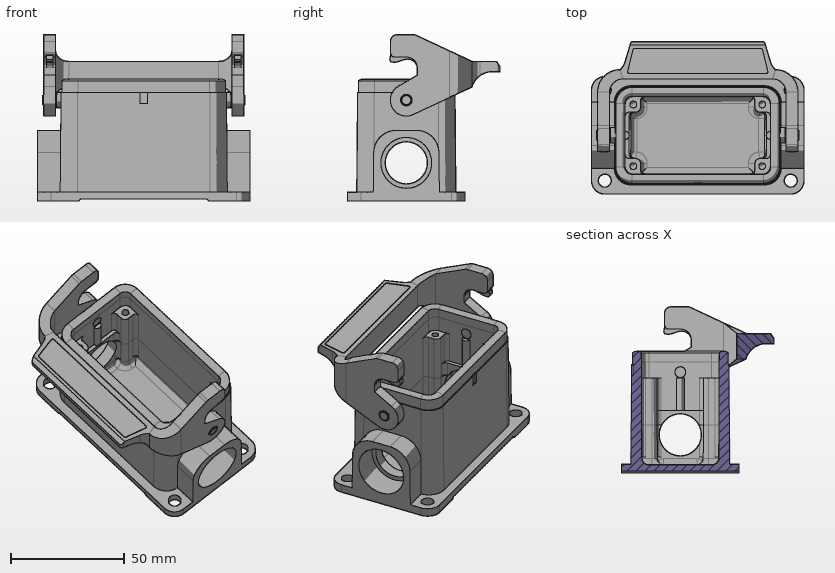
import cadquery as cq
import math


FLANGE_LENGTH = 94.0
FLANGE_WIDTH = 52.1
FLANGE_HEIGHT = 3.95
FLANGE_CORNER_RADIUS = 6.0
FLANGE_HOLE_DIAMETER = 5.6
FLANGE_HOLE_X = 41.1
FLANGE_HOLE_Y = 20.0
FOOT_RECESS_DEPTH = 0.9
FOOT_RECESS_HALF_LENGTH = 28.8

BODY_LENGTH = 73.9
BODY_WIDTH = 43.9
BODY_CORNER_RADIUS = 7.6
BODY_DRAFT = 0.5
RIM_BASE_Z = 47.9
RIM_LENGTH = 72.4
RIM_WIDTH = 42.4
RIM_CORNER_RADIUS = 7.2
RIM_EDGE_Z = 53.2
RIM_CROWN = 0.75
LIP_WIDTH = 3.95
NOTCH_WIDTH = 3.1
NOTCH_HEIGHT = 4.9
NOTCH_DEPTH = 0.6

FLOOR_Z = 3.8
FLOOR_FILLET = 2.8
FOOT_TOP_Z = FLOOR_Z + FLOOR_FILLET + 0.5
LOWER_DRAFT = 0.5
LOWER_TOP_Z = 21.3
LEDGE_Z = 27.7
LEDGE_X = 30.4
BASE_HALF_X = 29.7
POST_TOP_Z = 42.0
FLARE_BASE_Z = 49.1
FLARE = 0.2
CAVITY_HALF_X = RIM_LENGTH / 2 - LIP_WIDTH - FLARE
CAVITY_HALF_Y = RIM_WIDTH / 2 - LIP_WIDTH - FLARE
CAVITY_CORNER_RADIUS = RIM_CORNER_RADIUS - LIP_WIDTH
POST_INNER_X = 25.3
POST_INNER_Y = 10.2
POST_CORNER_RADIUS = 2.3
POST_ROOT_FILLET = 1.8
POST_HOLE_DIAMETER = 3.0
POST_HOLE_X = 28.5
POST_HOLE_Y = 13.6
POST_HOLE_DEPTH = 9.4
DRILL_HALF_ANGLE = 59.0
WALL_RIB_RADIUS = 1.8

ENTRY_HALF_WIDTH = 14.3
ENTRY_BASE_HALF_WIDTH = 14.7
ENTRY_TOP_Z = 31.3
ENTRY_CORNER_RADIUS = 10.0
ENTRY_AXIS_Z = 16.9
ENTRY_BORE_DIAMETER = 22.5
ENTRY_BORE_DEPTH = 12.2
ENTRY_HOLE_DIAMETER = 18.5

HINGE_Z = 44.65
HINGE_SHOULDER_DIAMETER = 7.0
HINGE_SHOULDER_END_X = 38.5
HINGE_PIN_DIAMETER = 4.8
HINGE_PIN_TIP_DIAMETER = 4.0
HINGE_PIN_END_X = 44.65
HINGE_HOLE_DIAMETER = 5.1
PIN_SEAT_DEPTH = 0.1

ARM_INNER_X = 38.9
ARM_THICKNESS = 5.4
ARM_OUTER_X = ARM_INNER_X + ARM_THICKNESS
ARM_TOP_Z = 73.6
ARM_SLOPE = 25.0
ARM_END_RADIUS = 7.05
ARM_FRONT_Y = -ARM_END_RADIUS
ARM_TOP_BACK_Y = 3.8
NOSE_RADIUS = 3.0
HOOK_CEILING_Z = 63.6
HOOK_BACK_Y = 4.8
HOOK_RADIUS = 4.6
HOOK_LIP_RADIUS = 2.0
HOOK_BOTTOM_Z = 55.7
HOOK_SLOPE = 31.4
CAM_WIDTH = 2.8

BEND_INNER_RADIUS = 5.8
BEND_OUTER_RADIUS = 10.0
BEND_INNER_X = ARM_INNER_X - BEND_INNER_RADIUS
BEND_OUTER_X = ARM_OUTER_X - BEND_OUTER_RADIUS
BEND_Y = 19.1
BAR_INNER_Y = BEND_Y + BEND_INNER_RADIUS
BAR_OUTER_Y = BEND_Y + BEND_OUTER_RADIUS
HANDLE_TIP_Y = 41.5
HANDLE_UNDERSIDE_Z = 57.15
HANDLE_CHAMFER_Y = 1.6
HANDLE_CHAMFER_Z = 2.4
HANDLE_NECK_X = 32.15
HANDLE_NECK_Y = 32.5
HANDLE_NECK_MIDDLE = (33.1, 30.5)
HANDLE_TIP_X = 29.5
HANDLE_CORNER_RADIUS = 1.4
PANEL_NEAR_Y = 27.4
PANEL_FAR_Y = 38.35
PANEL_NEAR_X = 31.2
PANEL_FAR_X = 28.5
PANEL_CORNER_RADIUS = 0.75
PANEL_DEPTH = 0.3


def tan_degrees(angle):
    return math.tan(math.radians(angle))


def level(z):
    """Horizontal workplane at height z."""
    return cq.Workplane("XY", origin=(0, 0, z))


def facing_x(x, z=0.0):
    """Workplane at x whose local axes are Y and Z and whose normal is +X."""
    return cq.Workplane("YZ", origin=(x, 0, z))


def with_mirror(solid):
    """The solid together with its mirror image across X = 0."""
    return solid.union(solid.mirror("YZ"))


def rounded_block(length, width, radius, bottom_z, top_z, draft=0.0):
    outline = cq.Sketch().rect(length, width).vertices().fillet(radius)
    return level(bottom_z).placeSketch(outline).extrude(top_z - bottom_z, taper=draft)



def make_flange():
    flange = rounded_block(FLANGE_LENGTH, FLANGE_WIDTH, FLANGE_CORNER_RADIUS, 0, FLANGE_HEIGHT)
    top_half_length = FOOT_RECESS_HALF_LENGTH - FOOT_RECESS_DEPTH
    recess = (
        cq.Workplane("XZ")
        .polyline([
            (-FOOT_RECESS_HALF_LENGTH, 0),
            (-top_half_length, FOOT_RECESS_DEPTH),
            (top_half_length, FOOT_RECESS_DEPTH),
            (FOOT_RECESS_HALF_LENGTH, 0),
        ])
        .close()
        .extrude(FLANGE_WIDTH / 2, both=True)
    )
    holes = (
        level(0)
        .rect(2 * FLANGE_HOLE_X, 2 * FLANGE_HOLE_Y, forConstruction=True)
        .vertices()
        .circle(FLANGE_HOLE_DIAMETER / 2)
        .extrude(FLANGE_HEIGHT)
    )
    return flange.cut(recess).cut(holes)


def make_rim():
    """Straight rim with a crowned lip; still solid inside."""
    rim = rounded_block(RIM_LENGTH, RIM_WIDTH, RIM_CORNER_RADIUS, RIM_BASE_Z, RIM_EDGE_Z)
    half_lip = LIP_WIDTH / 2
    path = (
        level(RIM_EDGE_Z)
        .rect(RIM_LENGTH - LIP_WIDTH, RIM_WIDTH - LIP_WIDTH)
        .extrude(RIM_CROWN)
        .edges("|Z")
        .fillet(RIM_CORNER_RADIUS - half_lip)
        .faces("<Z")
        .wires()
    )
    crown = (
        facing_x(0, RIM_EDGE_Z)
        .center(-(RIM_WIDTH / 2 - half_lip), 0)
        .moveTo(-half_lip, 0)
        .threePointArc((0, RIM_CROWN), (half_lip, 0))
        .close()
        .sweep(path)
    )
    return rim.union(crown)


def make_entry():
    """Cable entry block on the +X end, still without its bore."""
    outline = (
        cq.Sketch()
        .polygon([
            (-ENTRY_BASE_HALF_WIDTH, 0),
            (ENTRY_BASE_HALF_WIDTH, 0),
            (ENTRY_HALF_WIDTH, ENTRY_TOP_Z),
            (-ENTRY_HALF_WIDTH, ENTRY_TOP_Z),
            (-ENTRY_BASE_HALF_WIDTH, 0),
        ])
        .vertices(">Y")
        .fillet(ENTRY_CORNER_RADIUS)
    )
    return facing_x(BASE_HALF_X).placeSketch(outline).extrude(FLANGE_LENGTH / 2 - BASE_HALF_X)


def make_entry_bore():
    hole = facing_x(0, ENTRY_AXIS_Z).circle(ENTRY_HOLE_DIAMETER / 2).extrude(FLANGE_LENGTH / 2)
    bore = (
        facing_x(FLANGE_LENGTH / 2 - ENTRY_BORE_DEPTH, ENTRY_AXIS_Z)
        .circle(ENTRY_BORE_DIAMETER / 2)
        .extrude(ENTRY_BORE_DEPTH)
    )
    return hole.union(bore)


def cross_outline(half_x, rounded_roots=True):
    """Cavity outline between the four corner posts, reaching to half_x at the ends."""
    outline = (
        cq.Sketch()
        .rect(2 * half_x, 2 * POST_INNER_Y)
        .rect(2 * POST_INNER_X, 2 * CAVITY_HALF_Y)
        .clean()
        .vertices("not (<X or >X or <Y or >Y)")
        .fillet(POST_CORNER_RADIUS)
        .reset()
    )
    if rounded_roots:
        outline = outline.vertices("<X or >X or <Y or >Y").fillet(POST_ROOT_FILLET).reset()
    return outline


def make_cavity_base():
    """Drafted lower cavity with a filleted floor."""
    foot = (
        level(LOWER_TOP_Z)
        .placeSketch(cross_outline(BASE_HALF_X, rounded_roots=False))
        .extrude(FLOOR_Z - LOWER_TOP_Z, taper=LOWER_DRAFT)
        .faces("<Z")
        .edges()
        .fillet(FLOOR_FILLET)
        .intersect(level(0).rect(FLANGE_LENGTH, FLANGE_WIDTH).extrude(FOOT_TOP_Z))
    )
    shaft = (
        level(LOWER_TOP_Z)
        .placeSketch(cross_outline(BASE_HALF_X))
        .extrude(FOOT_TOP_Z - LOWER_TOP_Z, taper=LOWER_DRAFT)
    )
    return foot.union(shaft)


def make_cavity():
    """Cavity as a stack of layers: drafted base, ledge zone, post zone, open chamber, flared mouth."""
    ledge_zone = level(LOWER_TOP_Z).placeSketch(cross_outline(LEDGE_X)).extrude(LEDGE_Z - LOWER_TOP_Z)
    post_zone = level(LEDGE_Z).placeSketch(cross_outline(CAVITY_HALF_X)).extrude(POST_TOP_Z - LEDGE_Z)
    chamber = rounded_block(
        2 * CAVITY_HALF_X, 2 * CAVITY_HALF_Y, CAVITY_CORNER_RADIUS, POST_TOP_Z, FLARE_BASE_Z
    )
    flare_angle = math.degrees(math.atan(FLARE / (RIM_EDGE_Z - FLARE_BASE_Z)))
    mouth = rounded_block(
        2 * CAVITY_HALF_X, 2 * CAVITY_HALF_Y, CAVITY_CORNER_RADIUS,
        FLARE_BASE_Z, RIM_EDGE_Z + RIM_CROWN, -flare_angle,
    )
    return make_cavity_base().union(ledge_zone).union(post_zone).union(chamber).union(mouth)


def make_post_holes():
    """Blind holes with a drilled point, one in each corner post."""
    radius = POST_HOLE_DIAMETER / 2
    point_height = radius / tan_degrees(DRILL_HALF_ANGLE)
    drill = (
        cq.Workplane("XZ")
        .polyline([
            (0, POST_TOP_Z),
            (radius, POST_TOP_Z),
            (radius, POST_TOP_Z - POST_HOLE_DEPTH),
            (0, POST_TOP_Z - POST_HOLE_DEPTH - point_height),
        ])
        .close()
        .revolve(360, (0, 0), (0, 1))
    )
    holes = cq.Workplane("XY")
    for x in (-POST_HOLE_X, POST_HOLE_X):
        for y in (-POST_HOLE_Y, POST_HOLE_Y):
            holes = holes.add(drill.translate((x, y, 0)))
    return holes.combine()


def make_wall_rib():
    """Rounded upright rib on the inside of the +X end wall."""
    return (
        level(LEDGE_Z)
        .center(CAVITY_HALF_X, 0)
        .circle(WALL_RIB_RADIUS)
        .extrude(POST_TOP_Z - LEDGE_Z)
    )


def make_hinge_pin():
    """Shouldered hinge pin that stands out from the +X end wall."""
    shoulder = (
        facing_x(CAVITY_HALF_X + PIN_SEAT_DEPTH, HINGE_Z)
        .circle(HINGE_SHOULDER_DIAMETER / 2)
        .extrude(HINGE_SHOULDER_END_X - CAVITY_HALF_X - PIN_SEAT_DEPTH)
    )
    pin = (
        facing_x(HINGE_SHOULDER_END_X, HINGE_Z)
        .circle(HINGE_PIN_DIAMETER / 2)
        .extrude(HINGE_PIN_END_X - HINGE_SHOULDER_END_X)
        .faces(">X")
        .chamfer((HINGE_PIN_DIAMETER - HINGE_PIN_TIP_DIAMETER) / 2)
    )
    return shoulder.union(pin)


def make_pin_seat():
    """Shallow round recess in the cavity wall at the inner end of the hinge pin."""
    return facing_x(0, HINGE_Z).circle(HINGE_PIN_DIAMETER / 2).extrude(CAVITY_HALF_X + PIN_SEAT_DEPTH)


def make_notch():
    """Small notch in the front wall, open at the step below the rim."""
    wall_y = -(BODY_WIDTH / 2 - (RIM_BASE_Z - FLANGE_HEIGHT) * tan_degrees(BODY_DRAFT))
    return (
        level(RIM_BASE_Z - NOTCH_HEIGHT)
        .center(0, wall_y)
        .rect(NOTCH_WIDTH, 2 * NOTCH_DEPTH)
        .extrude(NOTCH_HEIGHT)
    )


def make_housing():
    body = rounded_block(
        BODY_LENGTH, BODY_WIDTH, BODY_CORNER_RADIUS, FLANGE_HEIGHT, RIM_BASE_Z, BODY_DRAFT
    )
    return (
        make_flange()
        .union(body)
        .union(make_rim())
        .union(with_mirror(make_entry()))
        .union(with_mirror(make_hinge_pin()))
        .cut(make_cavity())
        .cut(with_mirror(make_entry_bore()))
        .cut(make_post_holes())
        .union(with_mirror(make_wall_rib()))
        .cut(with_mirror(make_pin_seat()))
        .cut(make_notch())
    )



def arm_top_z(y):
    """Height of the sloping upper edge of an arm."""
    return ARM_TOP_Z - (y - ARM_TOP_BACK_Y) * tan_degrees(ARM_SLOPE)


def arm_bottom_z(y):
    """Height of the sloping lower edge of an arm, tangent to its round hinge end."""
    return HINGE_Z - ARM_END_RADIUS / math.cos(math.radians(ARM_SLOPE)) + y * tan_degrees(ARM_SLOPE)


BAR_TOP_Z = arm_top_z(BAR_OUTER_Y)
BAR_BOTTOM_Z = arm_bottom_z(BAR_OUTER_Y)


def hinge_end_point(angle):
    """Point on the round hinge end, at an angle in degrees from +Y towards +Z."""
    angle = math.radians(angle)
    return ARM_END_RADIUS * math.cos(angle), HINGE_Z + ARM_END_RADIUS * math.sin(angle)


def make_arm():
    """Hooked side arm at +X, with its hinge hole."""
    nose_shift = NOSE_RADIUS * (1 - math.sqrt(0.5))
    lip_shift = HOOK_LIP_RADIUS * (1 - math.sqrt(0.5))
    hook_shift = HOOK_RADIUS * (1 - math.sqrt(0.5))
    slope_top = (ARM_INNER_X + ARM_THICKNESS / 2, ARM_TOP_BACK_Y, ARM_TOP_Z)
    arm = (
        facing_x(ARM_INNER_X)
        .moveTo(BEND_Y, arm_top_z(BEND_Y))
        .lineTo(ARM_TOP_BACK_Y, ARM_TOP_Z)
        .lineTo(ARM_FRONT_Y + NOSE_RADIUS, ARM_TOP_Z)
        .threePointArc(
            (ARM_FRONT_Y + nose_shift, ARM_TOP_Z - nose_shift), (ARM_FRONT_Y, ARM_TOP_Z - NOSE_RADIUS)
        )
        .lineTo(ARM_FRONT_Y, HOOK_CEILING_Z + HOOK_LIP_RADIUS)
        .threePointArc(
            (ARM_FRONT_Y + lip_shift, HOOK_CEILING_Z + lip_shift),
            (ARM_FRONT_Y + HOOK_LIP_RADIUS, HOOK_CEILING_Z),
        )
        .lineTo(HOOK_BACK_Y - HOOK_RADIUS, HOOK_CEILING_Z)
        .threePointArc(
            (HOOK_BACK_Y - hook_shift, HOOK_CEILING_Z - hook_shift),
            (HOOK_BACK_Y, HOOK_CEILING_Z - HOOK_RADIUS),
        )
        .lineTo(HOOK_BACK_Y, HOOK_BOTTOM_Z)
        .lineTo(*hinge_end_point(90 + HOOK_SLOPE))
        .threePointArc(hinge_end_point(180), hinge_end_point(270 + ARM_SLOPE))
        .lineTo(BEND_Y, arm_bottom_z(BEND_Y))
        .close()
        .extrude(ARM_THICKNESS)
        .edges(cq.selectors.NearestToPointSelector(slope_top))
        .fillet(NOSE_RADIUS)
    )
    hole = facing_x(ARM_INNER_X, HINGE_Z).circle(HINGE_HOLE_DIAMETER / 2).extrude(ARM_THICKNESS)
    return arm.cut(hole)


def make_cam():
    """Narrow cam strip along the underside of the hook, centred in the arm at +X."""
    arc_end = (HOOK_BACK_Y, HOOK_CEILING_Z - HOOK_RADIUS)
    crest = (0.1, 62.7)
    crest_side = (3.3, 61.8)
    inflection = (-2.35, 62.0)
    low_point = (-4.7, 61.4)
    toe = (-7.05, 61.7)
    tip = (-7.3, 62.5)
    front_root = (ARM_FRONT_Y, 64.3)
    inner_root = (ARM_FRONT_Y + HOOK_LIP_RADIUS, HOOK_CEILING_Z + HOOK_LIP_RADIUS)
    return (
        facing_x((ARM_INNER_X + ARM_OUTER_X - CAM_WIDTH) / 2)
        .moveTo(*arc_end)
        .threePointArc(crest_side, crest)
        .spline([inflection, low_point, toe], includeCurrent=True)
        .lineTo(*tip)
        .lineTo(*front_root)
        .lineTo(*inner_root)
        .lineTo(HOOK_BACK_Y, inner_root[1])
        .close()
        .extrude(CAM_WIDTH)
    )


def make_bend():
    """Quarter bend from the arm at +X to the back bar; its upper and lower faces twist with it."""
    steps = 6

    def edge(centre_x, radius, height):
        points = []
        for step in range(steps + 1):
            angle = math.pi / 2 * step / steps
            z = height(BEND_Y + BEND_OUTER_RADIUS * math.sin(angle))
            x = centre_x + radius * math.cos(angle)
            y = BEND_Y + radius * math.sin(angle)
            points.append(cq.Vector(x, y, z))
        return cq.Edge.makeSpline(points)

    rails = [
        edge(BEND_OUTER_X, BEND_OUTER_RADIUS, arm_top_z),
        edge(BEND_INNER_X, BEND_INNER_RADIUS, arm_top_z),
        edge(BEND_INNER_X, BEND_INNER_RADIUS, arm_bottom_z),
        edge(BEND_OUTER_X, BEND_OUTER_RADIUS, arm_bottom_z),
    ]
    faces = [cq.Face.makeRuledSurface(rails[i - 1], rails[i]) for i in range(len(rails))]
    for section in ([rail.startPoint() for rail in rails], [rail.endPoint() for rail in rails]):
        faces.append(cq.Face.makeFromWires(cq.Wire.makePolygon(section, close=True)))
    return cq.Workplane(cq.Solid.makeSolid(cq.Shell.makeShell(faces)).fix())


def make_handle():
    """Back bar and handle: a constant Y-Z section trimmed to the handle's plan outline."""
    arc_start = (38.5, HANDLE_UNDERSIDE_Z)
    arc_middle = (32.3, 55.3)
    section = (
        facing_x(-BEND_OUTER_X)
        .moveTo(BAR_INNER_Y, BAR_BOTTOM_Z)
        .lineTo(BAR_INNER_Y, BAR_TOP_Z)
        .lineTo(HANDLE_TIP_Y - HANDLE_CHAMFER_Y, BAR_TOP_Z)
        .lineTo(HANDLE_TIP_Y, BAR_TOP_Z - HANDLE_CHAMFER_Z)
        .lineTo(HANDLE_TIP_Y, HANDLE_UNDERSIDE_Z)
        .lineTo(*arc_start)
        .threePointArc(arc_middle, (BAR_OUTER_Y, BAR_BOTTOM_Z))
        .close()
        .extrude(2 * BEND_OUTER_X)
    )
    plan = (
        level(BAR_BOTTOM_Z)
        .moveTo(0, BAR_INNER_Y)
        .lineTo(BEND_INNER_X, BAR_INNER_Y)
        .lineTo(BEND_OUTER_X, BAR_OUTER_Y)
        .threePointArc(HANDLE_NECK_MIDDLE, (HANDLE_NECK_X, HANDLE_NECK_Y))
        .lineTo(HANDLE_TIP_X, HANDLE_TIP_Y)
        .lineTo(0, HANDLE_TIP_Y)
        .close()
        .extrude(BAR_TOP_Z - BAR_BOTTOM_Z)
        .edges("|Z")
        .edges(">Y")
        .edges(">X")
        .fillet(HANDLE_CORNER_RADIUS)
    )
    return section.intersect(with_mirror(plan))


def make_panel():
    """Shallow label panel sunk into the top of the handle."""
    outline = (
        cq.Sketch()
        .polygon([
            (-PANEL_NEAR_X, PANEL_NEAR_Y),
            (PANEL_NEAR_X, PANEL_NEAR_Y),
            (PANEL_FAR_X, PANEL_FAR_Y),
            (-PANEL_FAR_X, PANEL_FAR_Y),
            (-PANEL_NEAR_X, PANEL_NEAR_Y),
        ])
        .vertices()
        .fillet(PANEL_CORNER_RADIUS)
    )
    return level(BAR_TOP_Z - PANEL_DEPTH).placeSketch(outline).extrude(PANEL_DEPTH)


def make_lever():
    side = make_arm().union(make_cam()).union(make_bend())
    return make_handle().union(with_mirror(side)).cut(make_panel())


housing = make_housing()
lever = make_lever()
result = cq.Compound.makeCompound([housing.solids().val(), lever.solids().val()])